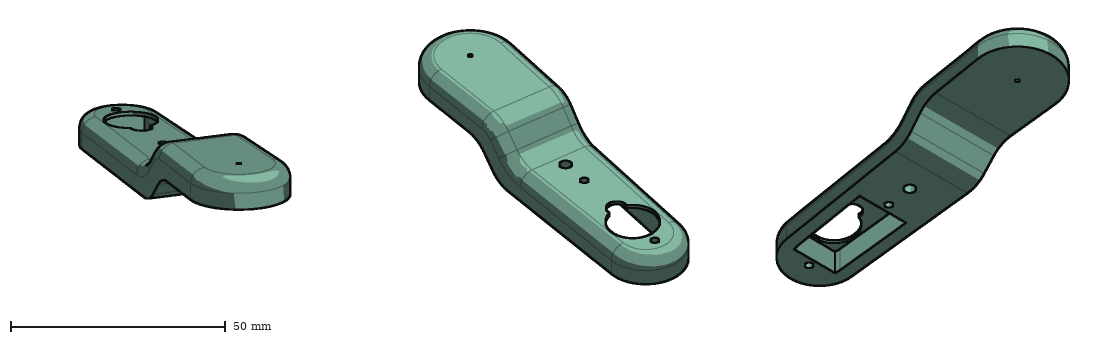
import cadquery as cq
import math

length = 92.0
small_end_radius = 10.0
width = 24.0
large_end_radius = width / 2
small_end_x = small_end_radius
large_end_x = length - large_end_radius

height = 15.7
thickness = 7.5
rise = height - thickness
ramp_run = 8.0
bend_radius = 8.0
upper_ramp_x = 48.2
lower_ramp_x = 53.0
edge_radius = 3.5

small_holes = [
    (6.3, 2.0),
    (34.5, 2.0),
    (41.9, 2.9),
    (large_end_x, 1.0),
]
keyhole_x = 15.2
keyhole_diameter = 12.7
keyhole_notch_x = 21.6
keyhole_notch_diameter = 5.0

pocket_start_x = 8.3
pocket_end_x = 32.4
pocket_wall = 3.5
pocket_roof = 0.9

side_lean = (large_end_radius - small_end_radius) / (large_end_x - small_end_x)
side_rim = math.sqrt(1 - side_lean**2)


def tangent_point(center_x, radius, side):
    """Point where a straight side meets a round end; side is -1 or 1."""
    return (center_x - radius * side_lean, side * radius * side_rim)


def make_plan(inset=0):
    """Vertical prism with the tapered, round-ended outline, moved inwards by inset."""
    small_radius = small_end_radius - inset
    large_radius = large_end_radius - inset
    return (
        cq.Workplane("XY")
        .moveTo(*tangent_point(small_end_x, small_radius, -1))
        .lineTo(*tangent_point(large_end_x, large_radius, -1))
        .threePointArc((length - inset, 0), tangent_point(large_end_x, large_radius, 1))
        .lineTo(*tangent_point(small_end_x, small_radius, 1))
        .threePointArc((inset, 0), tangent_point(small_end_x, small_radius, -1))
        .close()
        .extrude(height)
    )


def make_profile():
    """Cranked bar, wider than the plan, with all four bends rounded."""
    corners = [
        (0, 0),
        (lower_ramp_x, 0),
        (lower_ramp_x + ramp_run, rise),
        (length, rise),
        (length, height),
        (upper_ramp_x + ramp_run, height),
        (upper_ramp_x, thickness),
        (0, thickness),
    ]
    bar = cq.Workplane("XZ").polyline(corners).close().extrude(width, both=True)
    bends = bar.edges("|Y").filter(lambda edge: 0 < round(edge.Center().x, 3) < length)
    return bends.fillet(bend_radius)


def make_pocket():
    """Flat-roofed pocket whose side walls follow the tapered outline."""
    block = cq.Workplane("XY").box(
        pocket_end_x - pocket_start_x,
        width,
        thickness - pocket_roof,
        centered=(False, True, False),
    )
    return block.translate((pocket_start_x, 0, 0)).intersect(make_plan(pocket_wall))


def drill(body, x, diameter):
    """Cut a vertical hole through the whole height."""
    return body.cut(cq.Workplane("XY").center(x, 0).circle(diameter / 2).extrude(height))


body = make_plan().intersect(make_profile())

small_end_rim = cq.selectors.NearestToPointSelector((0, 0, thickness))
body = body.edges(small_end_rim).fillet(edge_radius)

body = body.cut(make_pocket())

for hole_x, hole_diameter in small_holes:
    body = drill(body, hole_x, hole_diameter)

body = drill(body, keyhole_x, keyhole_diameter)
result = drill(body, keyhole_notch_x, keyhole_notch_diameter)